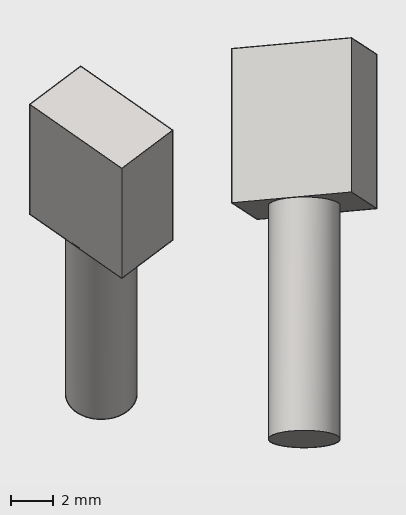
import cadquery as cq

total_height = 18.67
head_width = 5.97
head_depth = 3.44
head_height = 7.43
shaft_diameter = 3.36

shaft_length = total_height - head_height

shaft = cq.Workplane("XY").circle(shaft_diameter / 2).extrude(shaft_length)

head = (
    cq.Workplane("XY")
    .workplane(offset=shaft_length)
    .rect(head_width, head_depth)
    .extrude(head_height)
)

result = shaft.union(head)